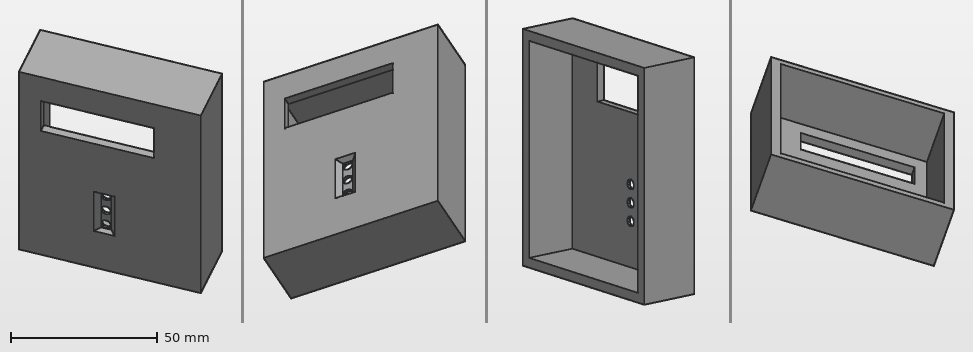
import cadquery as cq

width = 65.8
depth = 22.0
height = 83.8
side_wall = 3.5
front_wall = 3.0
front_y = -depth / 2

window_width = 40.8
window_height = 14.1
window_x = -4.5
window_z = 23.55

recess_x = -2.0
recess_z = -15.4
recess_width = 7.55
recess_height = 18.5
recess_depth = 2.0
floor_width = 3.8
floor_height = 16.85
floor_drop = 0.3

hole_diameter = 3.4
hole_pitch = 6.5
hole_count = 3
hole_x = -2.1
hole_row_z = -15.6


def front_plane(x, z):
    """Sketch plane on the front face, with its normal into the box and local y pointing down."""
    return cq.Workplane(cq.Plane(origin=(x, front_y, z), xDir=(1, 0, 0), normal=(0, 1, 0)))


def make_shell():
    outer = cq.Workplane("XY").box(width, depth, height)
    cavity = (
        front_plane(0, 0)
        .workplane(offset=front_wall)
        .rect(width - 2 * side_wall, height - 2 * side_wall)
        .extrude(depth - front_wall)
    )
    return outer.cut(cavity)


def make_window():
    return front_plane(window_x, window_z).rect(window_width, window_height).extrude(front_wall)


def make_recess():
    return (
        front_plane(recess_x, recess_z)
        .rect(recess_width, recess_height)
        .workplane(offset=recess_depth)
        .center(0, floor_drop)
        .rect(floor_width, floor_height)
        .loft(ruled=True)
    )


def make_indicator_holes():
    return (
        front_plane(hole_x, hole_row_z)
        .rarray(hole_pitch, hole_pitch, 1, hole_count)
        .circle(hole_diameter / 2)
        .extrude(front_wall)
    )


recess = make_recess()
recess_block = front_plane(recess_x, recess_z).rect(recess_width, recess_height).extrude(recess_depth)
holes = make_indicator_holes().cut(recess_block)

result = make_shell().cut(make_window()).cut(recess).cut(holes)